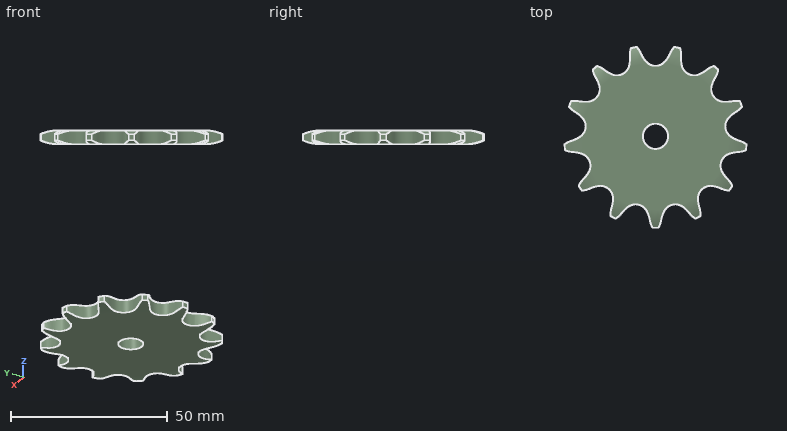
import cadquery as cq
import math


axis = (0, 0)

teeth = 13
pitch_radius = 26.55
roller_diameter = 7.9
seating_radius = 4.0
tip_radius = 29.2
thickness = 4.5
bore_diameter = 8.0
face_radius = 23.55
tip_thickness = 2.05

working_offset = 0.8 * roller_diameter
topping_offset = 1.4 * roller_diameter
working_radius = working_offset + seating_radius
pitch_step = 360 / teeth
seating_angle = 35 + 60 / teeth
working_sweep = 18 - 56 / teeth
topping_angle = 17 - 64 / teeth
flank_slope = seating_angle - working_sweep
straight_length = (
    topping_offset * math.sin(math.radians(topping_angle))
    - working_offset * math.sin(math.radians(working_sweep))
)


def direction(start, end):
    """Angle in degrees of the line from one point to another."""
    return math.degrees(math.atan2(end[1] - start[1], end[0] - start[0]))


def offset(point, distance, angle):
    """Point at a distance and an angle in degrees from another point."""
    a = math.radians(angle)
    return (point[0] + distance * math.cos(a), point[1] + distance * math.sin(a))


def mirrored(point):
    """Point on the other side of the gap centred on +Y."""
    return (-point[0], point[1])


def turned(point, angle):
    """Point turned about the sprocket axis by an angle in degrees."""
    return offset(axis, math.dist(axis, point), direction(axis, point) + angle)


def left_flank():
    """Arc ends and arc middles up the left side of a gap, from the seat to the tooth tip."""
    roller_centre = (0, pitch_radius)
    working_centre = offset(roller_centre, working_offset, seating_angle)
    topping_centre = offset(roller_centre, topping_offset, 180 + pitch_step / 2)

    seat_end = offset(roller_centre, seating_radius, 180 + seating_angle)
    working_mid = offset(working_centre, working_radius, 180 + seating_angle - working_sweep / 2)
    working_end = offset(working_centre, working_radius, 180 + flank_slope)
    straight_end = offset(working_end, straight_length, 90 + flank_slope)

    topping_radius = math.dist(topping_centre, straight_end)
    centre_distance = math.dist(axis, topping_centre)
    cos_tip = (tip_radius**2 - centre_distance**2 - topping_radius**2) / (
        2 * centre_distance * topping_radius
    )
    tip_angle = direction(axis, topping_centre) - math.degrees(math.acos(cos_tip))
    start_angle = direction(topping_centre, straight_end)
    topping_mid = offset(topping_centre, topping_radius, (start_angle + tip_angle) / 2)
    tip_corner = offset(topping_centre, topping_radius, tip_angle)
    return seat_end, working_mid, working_end, straight_end, topping_mid, tip_corner


def toothed_plate():
    """Full-thickness plate with the tooth outline, drawn gap by gap clockwise."""
    left = left_flank()
    right = [mirrored(point) for point in left]
    seat_bottom = (0, pitch_radius - seating_radius)
    next_tip_middle = offset(axis, tip_radius, 90 - pitch_step / 2)

    outline = cq.Workplane("XY").workplane(offset=-thickness / 2).moveTo(*left[-1])
    for gap in range(teeth):
        turn = -gap * pitch_step
        seat_l, working_mid_l, working_l, straight_l, topping_mid_l, _ = [turned(p, turn) for p in left]
        seat_r, working_mid_r, working_r, straight_r, topping_mid_r, tip_r = [turned(p, turn) for p in right]
        next_tip_l = turned(left[-1], turn - pitch_step)
        outline = (
            outline.threePointArc(topping_mid_l, straight_l)
            .lineTo(*working_l)
            .threePointArc(working_mid_l, seat_l)
            .threePointArc(turned(seat_bottom, turn), seat_r)
            .threePointArc(working_mid_r, working_r)
            .lineTo(*straight_r)
            .threePointArc(topping_mid_r, tip_r)
            .threePointArc(turned(next_tip_middle, turn), next_tip_l)
        )
    return outline.close().extrude(thickness)


def thinned_disc():
    """Disc whose rim is rounded on both sides, tangent to the flat faces."""
    half = thickness / 2
    half_tip = tip_thickness / 2
    rim_width = tip_radius - face_radius
    rim_drop = half - half_tip
    rounding = (rim_width**2 + rim_drop**2) / (2 * rim_drop)
    half_sweep = math.degrees(math.asin(rim_width / rounding)) / 2
    mid_radius, mid_height = offset((face_radius, half - rounding), rounding, 90 - half_sweep)
    return (
        cq.Workplane("XZ")
        .moveTo(0, -half)
        .lineTo(face_radius, -half)
        .threePointArc((mid_radius, -mid_height), (tip_radius, -half_tip))
        .lineTo(tip_radius, half_tip)
        .threePointArc((mid_radius, mid_height), (face_radius, half))
        .lineTo(0, half)
        .close()
        .revolve(360, (0, 0, 0), (0, 1, 0))
    )


sprocket = toothed_plate().intersect(thinned_disc())
result = sprocket.faces(">Z").workplane(origin=(0, 0, 0)).hole(bore_diameter)